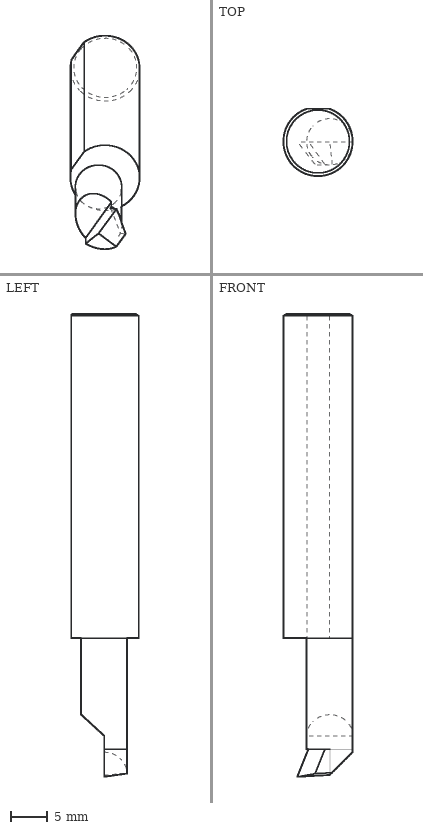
import cadquery as cq

total_length = 63.5
shank_radius = 4.75
shank_bottom = 19.05
flat_y = 4.5
chamfer_radial = 0.45
chamfer_height = 0.25

neck_radius = 3.2
neck_x = shank_radius - neck_radius
ramp_end_z = 5.65
ramp_rise = 2.9

head_top = 3.8
tip_x = -2.85
edge_lean = 0.4
side_relief = 2.3
bottom_relief = 0.3
bottom_rise = 0.25


def make_shank():
    shank = (
        cq.Workplane("XY")
        .workplane(offset=shank_bottom)
        .circle(shank_radius)
        .extrude(total_length - shank_bottom)
        .faces(">Z")
        .chamfer(chamfer_height, chamfer_radial)
    )
    width = 2 * shank_radius
    flat_cutter = cq.Workplane("XY").box(
        width, width, total_length, centered=(True, False, False)
    ).translate((0, flat_y, 0))
    return shank.cut(flat_cutter)


def make_neck():
    neck = (
        cq.Workplane("XY")
        .workplane(offset=head_top)
        .center(neck_x, 0)
        .circle(neck_radius)
        .extrude(shank_bottom - head_top)
    )
    rake_cutter = (
        cq.Workplane("YZ")
        .polyline([
            (0, 0),
            (neck_radius, 0),
            (neck_radius, ramp_end_z + ramp_rise),
            (0, ramp_end_z),
        ])
        .close()
        .extrude(2 * shank_radius, both=True)
    )
    return neck.cut(rake_cutter)


def head_outline(side_shift, lift):
    """XZ outline of the head, with its side moved along X and bottom raised."""
    bottom_slope = bottom_rise / (neck_x - tip_x)
    side_x = tip_x + side_shift
    bottom_z = (lift + bottom_slope * side_shift) / (1 - bottom_slope * edge_lean)
    corner_shift = lift / (1 - bottom_slope)
    return [
        (side_x + edge_lean * bottom_z, bottom_z),
        (neck_x + corner_shift, bottom_rise + corner_shift),
        (shank_radius, bottom_rise + neck_radius),
        (shank_radius, head_top),
        (side_x + edge_lean * head_top, head_top),
    ]


def make_head():
    body = (
        cq.Workplane("XZ")
        .polyline(head_outline(0, 0))
        .close()
        .workplane(offset=neck_radius)
        .polyline(head_outline(side_relief, bottom_relief))
        .close()
        .loft(ruled=True)
    )
    envelope = (
        cq.Workplane("XY")
        .moveTo(tip_x, 0)
        .lineTo(tip_x, -neck_radius)
        .lineTo(neck_x, -neck_radius)
        .radiusArc((shank_radius, 0), -neck_radius)
        .close()
        .extrude(head_top)
    )
    return body.intersect(envelope)


result = make_shank().union(make_neck()).union(make_head())